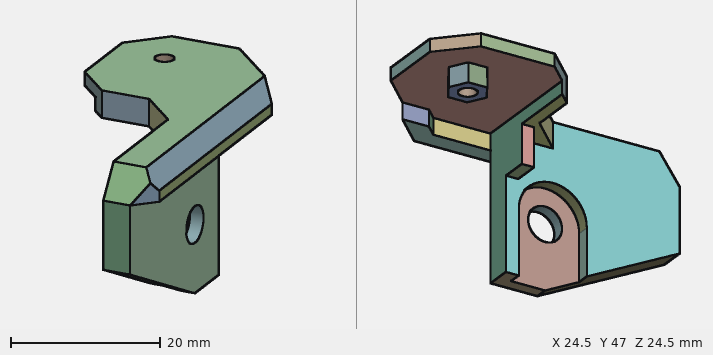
import cadquery as cq
import math

length = 47.0
width = 24.5
height = 24.5

plate_thickness = 1.97
corner_cut = 5.0
head_front = 25.45
head_back_right = 15.05
front_cut = 2.9
front_rim_depth = 4.0
front_rim_width = 1.95

wall_left = 17.55
wall_thickness = 4.0
wall_right = wall_left + wall_thickness
wall_back = head_front + front_rim_width
wall_front_bottom = 14.5

rim_depth = 4.5
rim_width = width - wall_right
rim_end = 19.75
side_bevel_width = 2.05
side_bevel_height = 2.9
front_bevel_length = 3.2

tab_width = 4.1
tab_depth = 10.0

pivot_y = 19.98
pivot_z = -14.5
pivot_diameter = 5.3
recess_radius = 5.35
recess_depth = 1.97

boss_x = 7.5
boss_y = 39.5
boss_flats = 5.15
boss_depth = 5.0
screw_diameter = 2.7

rear_right_y = length - (width - head_back_right)
neck_diagonal = 5.5


def box(x0, x1, y0, y1, z0, z1):
    return cq.Workplane("XY").box(x1 - x0, y1 - y0, z1 - z0, centered=False).translate((x0, y0, z0))


def downward_prism(points, depth):
    return cq.Workplane("XY").polyline(points).close().extrude(-depth)


def outline_prism(depth):
    """Plan outline of the whole part, extruded down from the top face."""
    return downward_prism(
        [
            (0, head_front + corner_cut),
            (corner_cut, head_front),
            (wall_left - neck_diagonal, head_front),
            (wall_left, head_front - neck_diagonal),
            (wall_left, 0),
            (width - front_cut, 0),
            (width, front_cut),
            (width, rear_right_y),
            (head_back_right, length),
            (corner_cut, length),
            (0, length - corner_cut),
        ],
        depth,
    )


def make_front_rim():
    strip = box(0, wall_right, 0, wall_back, -front_rim_depth, 0)
    return outline_prism(front_rim_depth).intersect(strip)


def make_side_rim():
    """Rim of constant width following the right side and the rear diagonal."""
    outer_sum = width + rear_right_y
    inner_sum = outer_sum - rim_width * math.sqrt(2)
    region = downward_prism(
        [
            (wall_right, 0),
            (width, 0),
            (width, rear_right_y),
            (rim_end, outer_sum - rim_end),
            (rim_end, inner_sum - rim_end),
            (wall_right, inner_sum - wall_right),
        ],
        rim_depth,
    )
    return outline_prism(rim_depth).intersect(region)


def make_wall():
    profile = [
        (0, 0),
        (wall_back, 0),
        (wall_back, -height),
        (pivot_y, -height),
        (0, -wall_front_bottom),
    ]
    return cq.Workplane("YZ").polyline(profile).close().extrude(wall_thickness).translate((wall_left, 0, 0))


def make_boss():
    corner_diameter = boss_flats / math.cos(math.pi / 6)
    hexagon = cq.Workplane("XY").polygon(6, corner_diameter).extrude(-boss_depth)
    return hexagon.rotate((0, 0, 0), (0, 0, 1), 90).translate((boss_x, boss_y, 0))


def make_recess():
    plane = cq.Workplane("YZ", origin=(wall_left, 0, 0))
    arch_top = plane.center(pivot_y, pivot_z).circle(recess_radius).extrude(recess_depth)
    legs = box(
        wall_left,
        wall_left + recess_depth,
        pivot_y - recess_radius,
        pivot_y + recess_radius,
        -height,
        pivot_z,
    )
    return arch_top.union(legs)


def make_side_bevel():
    profile = [(width - side_bevel_width, 0), (width, 0), (width, -side_bevel_height)]
    return cq.Workplane("XZ").polyline(profile).close().extrude(-length)


def make_front_bevel():
    profile = [(0, 0), (front_bevel_length, 0), (0, -rim_depth)]
    return cq.Workplane("YZ").polyline(profile).close().extrude(width)


tab = box(wall_left - tab_width, wall_left, head_front, wall_back, -tab_depth, 0)
pivot_hole = (
    cq.Workplane("YZ", origin=(wall_left, pivot_y, pivot_z))
    .circle(pivot_diameter / 2)
    .extrude(wall_thickness)
)
screw_hole = (
    cq.Workplane("XY").center(boss_x, boss_y).circle(screw_diameter / 2).extrude(-boss_depth)
)

result = outline_prism(plate_thickness)
for added in (make_front_rim(), make_side_rim(), make_wall(), tab, make_boss()):
    result = result.union(added)
for removed in (make_recess(), pivot_hole, screw_hole, make_side_bevel(), make_front_bevel()):
    result = result.cut(removed)